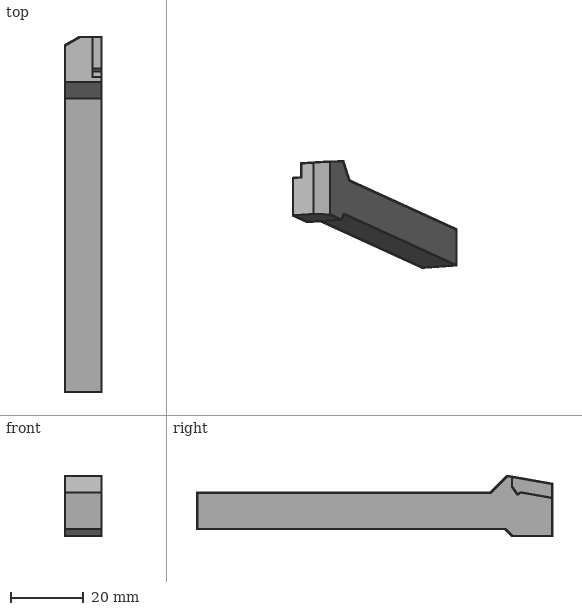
import cadquery as cq
import math

length = 97.5
width = 10.0
height = 16.6

top_rake = math.radians(10)
crest_setback = 12.4
heel_depth = 1.95
heel_setback = 11.0
tip_height = height - crest_setback * math.tan(top_rake)
shank_top = heel_depth + width
crest_drop = height - shank_top

corner_width = 4.0
corner_angle = math.radians(30)

seat_width = 2.4
seat_end_setback = 11.0
seat_depth = 3.9
jaw_run = 1.5
jaw_slope = math.radians(55)
groove_run = 0.9
groove_slope = math.pi / 2 - jaw_slope


def make_body():
    """Shank and head: one side profile swept across the width."""
    profile = [
        (0, heel_depth),
        (length - heel_setback - heel_depth, heel_depth),
        (length - heel_setback, 0),
        (length, 0),
        (length, tip_height),
        (length - crest_setback, height),
        (length - crest_setback - crest_drop, shank_top),
        (0, shank_top),
    ]
    return cq.Workplane("YZ").polyline(profile).close().extrude(width)


def make_corner_cut():
    """Wedge that slants the tip corner over the full height."""
    corner_length = corner_width * math.tan(corner_angle)
    outline = [(0, length), (corner_width, length), (0, length - corner_length)]
    return cq.Workplane("XY").polyline(outline).close().extrude(height)


def make_seat_cut():
    """Open-sided insert seat: floor parallel to the top, V groove and sloping jaw."""
    seat_end = length - seat_end_setback
    groove = seat_end + jaw_run
    floor_start = groove + groove_run
    floor_tip_height = tip_height - seat_depth
    floor_back_height = floor_tip_height + (length - floor_start) * math.tan(top_rake)
    groove_height = floor_back_height - groove_run * math.tan(groove_slope)
    jaw_height = groove_height + jaw_run * math.tan(jaw_slope)
    profile = [
        (length, height),
        (length, floor_tip_height),
        (floor_start, floor_back_height),
        (groove, groove_height),
        (seat_end, jaw_height),
        (seat_end, height),
    ]
    seat = cq.Workplane("YZ").polyline(profile).close().extrude(seat_width)
    return seat.translate((width - seat_width, 0, 0))


result = make_body().cut(make_corner_cut()).cut(make_seat_cut())